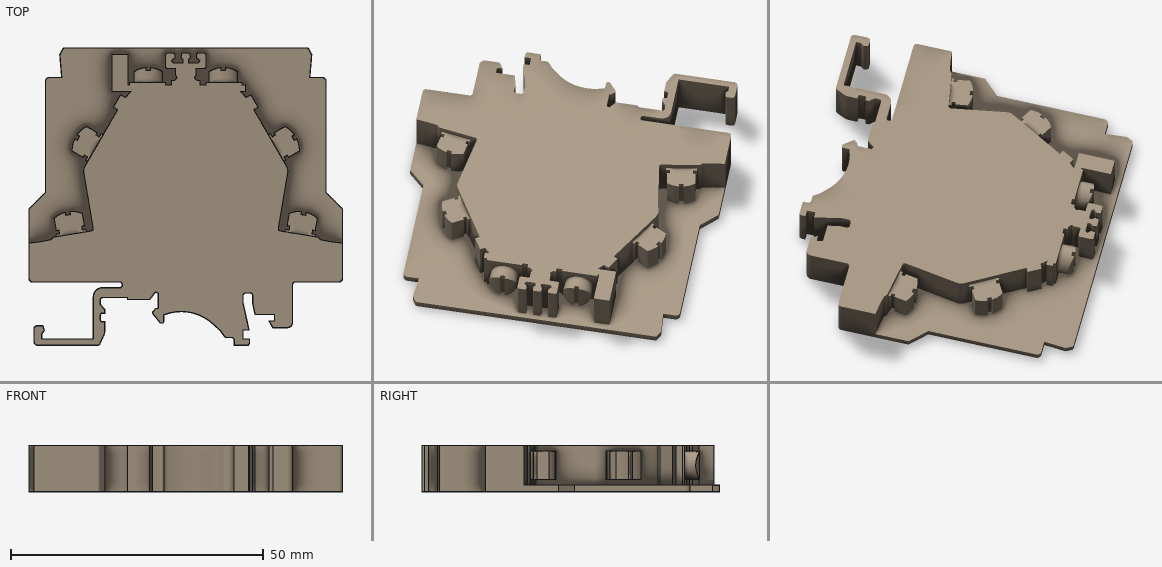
import cadquery as cq
import math

WIDTH = 62.2
LENGTH = 59.0
THICKNESS = 9.2
PLATE_THICKNESS = 1.3
HALF_WIDTH = WIDTH / 2

PLATE_SHOULDER_Y = 30.3
PLATE_WIDEST_Y = 27.05
PLATE_HALF = 27.85
PLATE_STEP_Y = 53.2
PLATE_NECK_HALF = 24.65
PLATE_TOP_HALF = 25.0
PLATE_ROOT_Y = 15.55

BASE_Y = 12.55
BASE_ROUND = 0.7
SHOULDER_Y = 20.3
WALL_LOW = (18.3, 22.75)
WALL_BEND = (20.35, 34.95)
WALL_HIGH = (13.5, 46.8)
CROWN_Y = 50.4
LEDGE_STEP_Y = 51.7
LEDGE_Y = 52.1
LEDGE_HALF = 11.8

FORK_HALF = 4.0
FORK_LOW_Y = 54.9
FORK_FLOOR_Y = 56
FORK_TOP_Y = 58.0

ARM_LEFT = -14.6
ARM_WIDTH = 3.2
ARM_TOP_Y = 57.7

HEAD_WIDTH = 5.65
HEAD_HALF = HEAD_WIDTH / 2
HEAD_SIDE = 2.5
DOME_RISE = 0.8
SLOT_WIDTH = 0.95
SLOT_DEPTH = 0.6
NECK_HALF = 2.3
WASHER_HALF = 3.05
WASHER_HEIGHT = 0.45
NECK_TOP = 1.2
SEAT_OVERLAP = 0.3
SCREW_Z = 5.2
SCREW_DEPTH = HEAD_WIDTH
UPPER_SCREW_X = 7.45
SLOPE_SCREW_ALONG = 3.05
SLOPE_SCREW_REFERENCE = (19.45, 36.5)
SLOPE_SCREW_TILT = 60
LOW_SCREW_SEAT = (22.7, 22.1)
LOW_SCREW_TILT = 9.5

CLIP_SLOT_Y = 11.45
CLIP_LEFT = -18.35
CLIP_RIGHT = -16.05
CLIP_GROOVE = -16.9
LEVER_LEFT = -30.1
LEVER_INNER = -28.55
LEVER_THICKNESS = 1.3
RAIL_TOP_Y = 9.45
SEAT_Y = 9.1
TOE_X = -5.5
ARCH_LEFT = -4.35
ARCH_RADIUS = 9.3
HEEL_LEFT = 9.6
HEEL_RIGHT = 12.7
HEEL_NOTCH = 11.4
RELIEF_TOP_Y = 10.4
RELIEF_RIGHT = 13.25
HOOK_RIGHT = 21.2
HOOK_BOTTOM_Y = 3.5
HOOK_CEILING_Y = 6.1
HOOK_INNER = 17.6


def toward(start, end, distance):
    """Point at a distance from start on the line to end."""
    share = distance / math.dist(start, end)
    return (start[0] + share * (end[0] - start[0]), start[1] + share * (end[1] - start[1]))


def outline_solid(corners, height):
    """Prism on a closed outline; a corner's optional third value is its rounding radius."""
    sketch = None
    for i, corner in enumerate(corners):
        point = corner[:2]
        before = corners[i - 1][:2]
        after = corners[(i + 1) % len(corners)][:2]
        radius = corner[2] if len(corner) > 2 else 0
        start = point
        if radius:
            to_before = math.atan2(before[1] - point[1], before[0] - point[0])
            to_after = math.atan2(after[1] - point[1], after[0] - point[0])
            half_angle = abs(math.remainder(to_after - to_before, 2 * math.pi)) / 2
            setback = radius / math.tan(half_angle)
            start = toward(point, before, setback)
            end = toward(point, after, setback)
            chord_middle = ((start[0] + end[0]) / 2, (start[1] + end[1]) / 2)
            middle = toward(point, chord_middle, radius / math.sin(half_angle) - radius)
        if sketch is None:
            sketch = cq.Workplane("XY").moveTo(*start)
        else:
            sketch = sketch.lineTo(*start)
        if radius:
            sketch = sketch.threePointArc(middle, end)
    return sketch.close().extrude(height)


def both_sides(right_half):
    """Right half of an outline, listed from bottom to top, followed by its mirror image."""
    return right_half + [(-corner[0], *corner[1:]) for corner in reversed(right_half)]


def back_plate():
    """Thin plate behind the housing, with sloped shoulders and a narrower top."""
    return outline_solid(both_sides([
        (HALF_WIDTH, PLATE_ROOT_Y),
        (HALF_WIDTH, PLATE_WIDEST_Y),
        (PLATE_HALF, PLATE_SHOULDER_Y),
        (PLATE_HALF, PLATE_STEP_Y, 0.9),
        (PLATE_NECK_HALF, PLATE_STEP_Y),
        (PLATE_TOP_HALF, LENGTH - 1.35),
        (PLATE_TOP_HALF - 0.75, LENGTH, 0.5),
    ]), PLATE_THICKNESS)


def upper_half():
    """Right half of the housing above its shoulder, up to the middle prong of the fork."""
    return [
        (HALF_WIDTH, SHOULDER_Y),
        (28.6, 20.6),
        (26.75, 20.95),
        (26.25, 21.45),
        (*WALL_LOW, 0.5),
        (*WALL_BEND, 2.2),
        WALL_HIGH,
        (14.35, 47.2),
        (12.95, 49.7),
        (11.95, 49.2),
        (10.9, CROWN_Y),
        (LEDGE_HALF, CROWN_Y),
        (LEDGE_HALF, LEDGE_STEP_Y),
        (LEDGE_HALF - 0.7, LEDGE_STEP_Y),
        (LEDGE_HALF - 0.7, LEDGE_Y),
        (4.05, LEDGE_Y),
        (4.05, LEDGE_STEP_Y),
        (2.85, LEDGE_STEP_Y),
        (2.85, LEDGE_Y + 0.4),
        (2.3, LEDGE_Y + 0.4),
        (1.75, LEDGE_Y + 0.95),
        (2.0, LEDGE_Y + 1.5),
        (2.0, FORK_LOW_Y),
        (FORK_HALF, FORK_LOW_Y, 0.4),
        (FORK_HALF, FORK_TOP_Y, 0.4),
        (2.2, FORK_TOP_Y, 0.3),
        (2.2, FORK_TOP_Y - 0.95),
        (2.8, FORK_TOP_Y - 1.5),
        (2.4, FORK_FLOOR_Y),
        (0.55, FORK_FLOOR_Y),
        (0.55, FORK_FLOOR_Y + 0.75),
        (0.95, FORK_FLOOR_Y + 1.05),
        (0.8, FORK_TOP_Y, 0.25),
    ]


def spring_clip():
    """Left underside: spring slot, spring leg with release lever, and the grooves facing the rail."""
    return [
        (-HALF_WIDTH, BASE_Y, BASE_ROUND),
        (-12.6, BASE_Y, 0.5),
        (-12.6, CLIP_SLOT_Y, 0.5),
        (CLIP_LEFT, CLIP_SLOT_Y, 1.8),
        (CLIP_LEFT, LEVER_THICKNESS),
        (LEVER_INNER, LEVER_THICKNESS),
        (LEVER_INNER, 2.3),
        (LEVER_INNER + 0.5, 2.9),
        (LEVER_INNER + 0.25, 3.9, 0.4),
        (LEVER_LEFT, 3.9, 0.6),
        (LEVER_LEFT, 0, 0.75),
        (-17.15, 0, 0.6),
        (CLIP_RIGHT, 2.4, 1.85),
        (CLIP_RIGHT, 4.7),
        (CLIP_GROOVE, 4.7, 0.3),
        (CLIP_GROOVE, 6.35, 0.3),
        (CLIP_RIGHT, 6.35),
        (CLIP_RIGHT, 7.1),
        (CLIP_GROOVE, 8.1),
        (CLIP_GROOVE, RAIL_TOP_Y, 0.4),
        (-11.6, RAIL_TOP_Y),
        (-11.6, SEAT_Y),
    ]


def middle_foot():
    """Toe, arched relief and heel between the two rail seats."""
    return [
        (-7.15, SEAT_Y),
        (-6.05, 10.6),
        (TOE_X, 10.3),
        (TOE_X, 7.35),
        (TOE_X - 0.45, 7.35),
        (TOE_X - 1.25, 6.45, 0.4),
        (-5.05, 4.4, 0.25),
        (ARCH_LEFT, 4.4, 0.4),
        (ARCH_LEFT, 6.05),
        (1.25, 8.0, ARCH_RADIUS),
        (6.85, 2.9),
        (7.85, 1.55, 0.5),
        (HEEL_LEFT, 1.55, 0.55),
        (HEEL_LEFT, 0),
        (HEEL_RIGHT - 0.25, 0),
        (HEEL_RIGHT, 0.5),
        (HEEL_RIGHT, 1.3),
        (HEEL_NOTCH, 1.3),
        (HEEL_NOTCH, 3.05),
        (HEEL_RIGHT - 0.1, 3.05),
    ]


def rail_hook():
    """Right underside: relief slot, rail hook and the right shoulder."""
    return [
        (HEEL_NOTCH, 8.4),
        (HEEL_NOTCH, RELIEF_TOP_Y, 0.5),
        (RELIEF_RIGHT, RELIEF_TOP_Y, 0.5),
        (RELIEF_RIGHT, 8.4),
        (RELIEF_RIGHT + 0.5, HOOK_CEILING_Y),
        (HOOK_INNER, HOOK_CEILING_Y),
        (HOOK_INNER, 4.85),
        (HOOK_INNER - 1.1, 4.85),
        (HOOK_INNER - 0.3, HOOK_BOTTOM_Y),
        (HOOK_RIGHT, HOOK_BOTTOM_Y, 1.1),
        (HOOK_RIGHT, BASE_Y, 0.55),
        (HALF_WIDTH, BASE_Y, BASE_ROUND),
    ]


def housing():
    """Full-thickness body joining the symmetric upper part to the rail foot."""
    underside = spring_clip() + middle_foot() + rail_hook()
    return outline_solid(both_sides(upper_half()) + underside, THICKNESS)


def marker_arm():
    """Upright bar on a short foot that runs into the terminal ledge."""
    corner = (ARM_LEFT, CROWN_Y, PLATE_THICKNESS)
    height = THICKNESS - PLATE_THICKNESS
    upright = cq.Workplane("XY").box(ARM_WIDTH, ARM_TOP_Y - CROWN_Y, height, centered=False)
    foot_length = -UPPER_SCREW_X - ARM_LEFT
    foot = cq.Workplane("XY").box(foot_length, LEDGE_STEP_Y - CROWN_Y, height, centered=False)
    return upright.union(foot).translate(corner)


def screw_head(bottom):
    """Slotted head with a domed top, standing along +Y and as deep as it is wide."""
    side_top = bottom + HEAD_SIDE
    crest = side_top + DOME_RISE
    head = (
        cq.Workplane("XY")
        .moveTo(-HEAD_HALF, bottom)
        .lineTo(HEAD_HALF, bottom)
        .lineTo(HEAD_HALF, side_top)
        .threePointArc((0, crest), (-HEAD_HALF, side_top))
        .close()
        .extrude(SCREW_DEPTH / 2, both=True)
    )
    slot = cq.Workplane("XY").box(SLOT_WIDTH, 2 * SLOT_DEPTH, SCREW_DEPTH).translate((0, crest, 0))
    return head.cut(slot)


def upper_screw(x):
    """Round head seated on the terminal ledge."""
    barrel = cq.Workplane("XZ").circle(HEAD_HALF).extrude(-LENGTH)
    head = screw_head(-SEAT_OVERLAP).intersect(barrel.translate((0, -SEAT_OVERLAP, 0)))
    return head.translate((x, LEDGE_Y, SCREW_Z))


def clamped_screw(seat, tilt):
    """Head, neck and washer of uniform depth, seated on the left wall that mirrors the given seat."""
    neck_height = NECK_TOP + SEAT_OVERLAP
    neck = cq.Workplane("XY").box(2 * NECK_HALF, neck_height, SCREW_DEPTH)
    washer_height = WASHER_HEIGHT + SEAT_OVERLAP
    washer = cq.Workplane("XY").box(2 * WASHER_HALF, washer_height, SCREW_DEPTH)
    screw = (
        screw_head(NECK_TOP)
        .union(neck.translate((0, neck_height / 2 - SEAT_OVERLAP, 0)))
        .union(washer.translate((0, washer_height / 2 - SEAT_OVERLAP, 0)))
    )
    return screw.rotate((0, 0, 0), (0, 0, 1), tilt).translate((-seat[0], seat[1], SCREW_Z))


result = housing().union(back_plate()).union(marker_arm())

for side in (-1, 1):
    result = result.union(upper_screw(side * UPPER_SCREW_X))

slope_seat = toward(SLOPE_SCREW_REFERENCE, WALL_HIGH, SLOPE_SCREW_ALONG)
for seat, tilt in ((slope_seat, SLOPE_SCREW_TILT), (LOW_SCREW_SEAT, LOW_SCREW_TILT)):
    left_screw = clamped_screw(seat, tilt)
    result = result.union(left_screw).union(left_screw.mirror("YZ"))